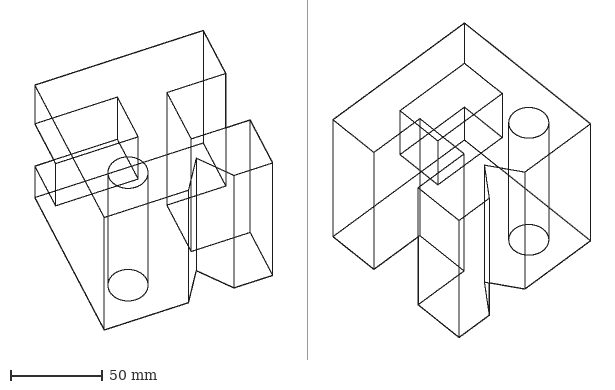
import cadquery as cq

side = 100.0

slot_width = 35.0
slot_depth = 35.0

notch_depth = 19.0
notch_front_y = 50.0
notch_tip_y = 62.5
notch_back_y = 77.0

hole_diameter = 22.0
hole_x = 76.0
hole_y = 24.0

pocket_length_x = 30.0
pocket_length_y = 49.0
pocket_bottom_z = 28.0
pocket_height = 37.5


def corner_box(length_x, length_y, height, corner):
    """Box whose minimum-coordinate corner sits at the given point."""
    return cq.Workplane("XY").box(length_x, length_y, height, centered=False).translate(corner)


body = corner_box(side, side, side, (0, 0, 0))

slot = corner_box(slot_width, slot_depth, side, ((side - slot_width) / 2, side - slot_depth, 0))

notch = (
    cq.Workplane("XY")
    .polyline([
        (side, notch_front_y),
        (side - notch_depth, notch_tip_y),
        (side, notch_back_y),
    ])
    .close()
    .extrude(side)
)

hole = cq.Workplane("XY").center(hole_x, hole_y).circle(hole_diameter / 2).extrude(side)

pocket = corner_box(pocket_length_x, pocket_length_y, pocket_height, (0, 0, pocket_bottom_z))

result = body.cut(slot).cut(notch).cut(hole).cut(pocket)